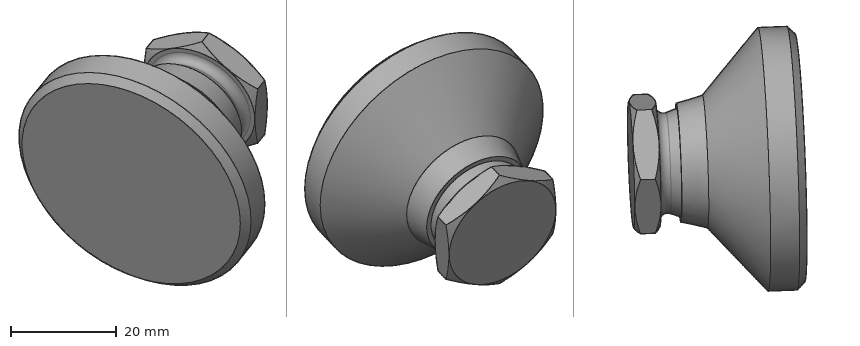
import cadquery as cq
import math

rim_chamfer_end = 1.5
rim_end = 7.0
foot_cone_end = 18.0
collar_end = 23.0
nut_front = 27.0
nut_back = 32.0

rim_radius = 25.0
face_radius = 23.5
collar_base_radius = 12.6
collar_top_radius = 11.3

groove_outer_radius = 11.0
groove_radius = 1.5
neck_cone_angle = math.radians(20)

nut_across_flats = 24.0
nut_face_radius = 11.95
nut_chamfer_angle = math.radians(30)


def groove_point(angle):
    """Radius and Y of a groove point, at an angle from its bottom towards the foot."""
    radius = groove_outer_radius - groove_radius * math.cos(angle)
    y = nut_front - groove_radius - groove_radius * math.sin(angle)
    return radius, y


def make_body():
    """Foot, collar and neck revolved about Y."""
    groove_end = groove_point(neck_cone_angle)
    neck_base_radius = groove_end[0] + (groove_end[1] - collar_end) * math.tan(neck_cone_angle)
    profile = (
        cq.Workplane("XY")
        .moveTo(0, 0)
        .lineTo(face_radius, 0)
        .lineTo(rim_radius, rim_chamfer_end)
        .lineTo(rim_radius, rim_end)
        .lineTo(collar_base_radius, foot_cone_end)
        .lineTo(collar_top_radius, collar_end)
        .lineTo(neck_base_radius, collar_end)
        .lineTo(*groove_end)
        .threePointArc(groove_point(0), (groove_outer_radius, nut_front))
        .lineTo(0, nut_front)
        .close()
    )
    return profile.revolve(360, (0, 0), (0, 1))


def make_nut():
    """Hexagon with corners at +Z and -Z, trimmed by a double cone."""
    corner_radius = nut_across_flats / math.sqrt(3)
    corners = [
        (corner_radius * math.sin(math.radians(60 * i)), corner_radius * math.cos(math.radians(60 * i)))
        for i in range(6)
    ]
    hexagon = (
        cq.Workplane("XZ", origin=(0, nut_front, 0))
        .polyline(corners)
        .close()
        .extrude(nut_front - nut_back)
    )
    middle = (nut_front + nut_back) / 2
    middle_radius = nut_face_radius + (middle - nut_front) / math.tan(nut_chamfer_angle)
    double_cone = (
        cq.Workplane("XY")
        .moveTo(0, nut_front)
        .lineTo(nut_face_radius, nut_front)
        .lineTo(middle_radius, middle)
        .lineTo(nut_face_radius, nut_back)
        .lineTo(0, nut_back)
        .close()
        .revolve(360, (0, 0), (0, 1))
    )
    return hexagon.intersect(double_cone)


result = make_body().union(make_nut())